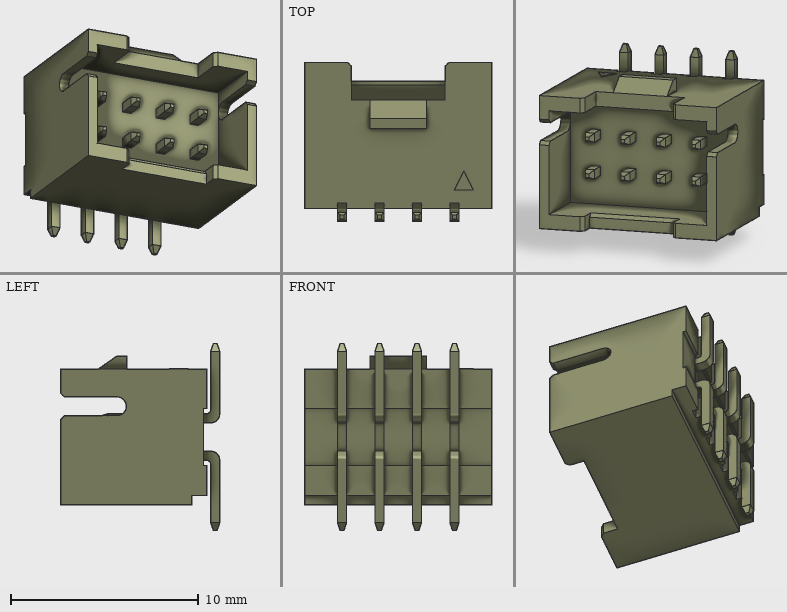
import cadquery as cq

BODY_WIDTH = 10.0
BODY_DEPTH = 7.8
BODY_HEIGHT = 7.25
BODY_TOP = BODY_HEIGHT / 2

SIDE_WALL = 0.55
COVER_WALL = 0.8
CAVITY_DEPTH = 3.5
CAVITY_FLOOR = BODY_DEPTH - CAVITY_DEPTH

NOTCH_WIDTH = 5.0
TOP_NOTCH_DEPTH = 2.0
BOTTOM_NOTCH_DEPTH = 1.0
MOUTH_CHAMFER = 0.2
LEAD_IN = 0.2

SIDE_SLOT_HEIGHT = 1.0
SIDE_SLOT_CENTER = 1.64

REAR_RECESS_DEPTH = 0.17
REAR_RECESS_HEIGHT = 3.02
REAR_STEP_DEPTH = 0.8
REAR_STEP_HEIGHT = 0.5
PIN_GROOVE_DEPTH = 0.3

WEDGE_WIDTH = 3.04
WEDGE_HEIGHT = 0.7
WEDGE_FLAT = 0.54
WEDGE_RAMP = 1.0
WEDGE_FRONT = BODY_DEPTH - TOP_NOTCH_DEPTH

MARK_X = 3.5
MARK_Y = 1.0
MARK_SIZE = 1.0
MARK_HEIGHT = 0.04

PIN_COUNT = 4
PIN_PITCH = 2.0
PIN_SIZE = 0.5
PIN_TIP_SIZE = 0.2
PIN_TIP_LENGTH = 0.43
PIN_ROW_Z = 1.0
PIN_LEG_Y = -0.45
PIN_LEG_END = 5.0
PIN_CONTACT_END = 5.73
BEND_OUTER_RADIUS = 0.5
BEND_INNER_RADIUS = 0.2

PIN_XS = [(i - (PIN_COUNT - 1) / 2) * PIN_PITCH for i in range(PIN_COUNT)]


def box(x_range, y_range, z_range):
    """Axis-aligned block spanning the given (low, high) ranges."""
    sizes = [high - low for low, high in (x_range, y_range, z_range)]
    corner = (x_range[0], y_range[0], z_range[0])
    return cq.Workplane("XY").box(*sizes, centered=False).translate(corner)


def centered(size):
    return (-size / 2, size / 2)


def mouth_cutter(plane, center, width, depth, half_length):
    """Notch running in from the mouth, flaring out to chamfered corners at the mouth face.

    The notch is drawn with its width along the plane's first axis and y along its second.
    """
    left = center - width / 2
    right = center + width / 2
    inner_end = BODY_DEPTH - depth
    straight_end = BODY_DEPTH - MOUTH_CHAMFER
    return (
        cq.Workplane(plane)
        .polyline([
            (left, inner_end),
            (right, inner_end),
            (right, straight_end),
            (right + MOUTH_CHAMFER, BODY_DEPTH),
            (left - MOUTH_CHAMFER, BODY_DEPTH),
            (left, straight_end),
        ])
        .close()
        .extrude(half_length, both=True)
    )


def cut_mouth(body):
    """Cavity, wall notches and side slots."""
    cavity = box(
        centered(BODY_WIDTH - 2 * SIDE_WALL),
        (CAVITY_FLOOR, BODY_DEPTH),
        centered(BODY_HEIGHT - 2 * COVER_WALL),
    )
    top_notch = mouth_cutter("XY", 0, NOTCH_WIDTH, TOP_NOTCH_DEPTH, COVER_WALL)
    top_notch = top_notch.translate((0, 0, BODY_TOP))
    bottom_notch = mouth_cutter("XY", 0, NOTCH_WIDTH, BOTTOM_NOTCH_DEPTH, COVER_WALL)
    bottom_notch = bottom_notch.translate((0, 0, -BODY_TOP))

    notch_end = BODY_DEPTH - BOTTOM_NOTCH_DEPTH
    wall_inside = COVER_WALL - BODY_TOP
    lead_in = (
        cq.Workplane("YZ")
        .polyline([
            (notch_end - LEAD_IN, wall_inside),
            (notch_end, wall_inside - LEAD_IN),
            (notch_end, wall_inside),
        ])
        .close()
        .extrude(NOTCH_WIDTH / 2, both=True)
    )

    round_radius = SIDE_SLOT_HEIGHT / 2
    slot_depth = CAVITY_DEPTH - round_radius
    side_slot = mouth_cutter("ZY", SIDE_SLOT_CENTER, SIDE_SLOT_HEIGHT, slot_depth, BODY_WIDTH / 2)
    slot_end = (
        cq.Workplane("YZ")
        .center(CAVITY_FLOOR + round_radius, SIDE_SLOT_CENTER)
        .circle(round_radius)
        .extrude(BODY_WIDTH / 2, both=True)
    )
    side_slot = side_slot.union(slot_end)
    return body.cut(cavity).cut(top_notch).cut(bottom_notch).cut(lead_in).cut(side_slot)


def cut_rear(body):
    """Shallow recess across the rear, step along its lower edge and one groove per pin column."""
    full_width = centered(BODY_WIDTH)
    body = body.cut(box(full_width, (0, REAR_RECESS_DEPTH), centered(REAR_RECESS_HEIGHT)))
    step_range = (-BODY_TOP, REAR_STEP_HEIGHT - BODY_TOP)
    body = body.cut(box(full_width, (0, REAR_STEP_DEPTH), step_range))
    groove = box(centered(PIN_SIZE), (0, PIN_GROOVE_DEPTH), centered(BODY_HEIGHT))
    for x in PIN_XS:
        body = body.cut(groove.translate((x, 0, 0)))
    return body


def locking_wedge():
    ramp_end = WEDGE_FRONT - WEDGE_RAMP
    rear = ramp_end - WEDGE_FLAT
    return (
        cq.Workplane("YZ")
        .polyline([
            (WEDGE_FRONT, BODY_TOP),
            (ramp_end, BODY_TOP + WEDGE_HEIGHT),
            (rear, BODY_TOP + WEDGE_HEIGHT),
            (rear, BODY_TOP),
        ])
        .close()
        .extrude(WEDGE_WIDTH / 2, both=True)
    )


def contact_mark():
    return (
        cq.Workplane("XY", origin=(MARK_X, MARK_Y, BODY_TOP))
        .polyline([(-MARK_SIZE / 2, 0), (MARK_SIZE / 2, 0), (0, MARK_SIZE)])
        .close()
        .extrude(MARK_HEIGHT)
    )


def pin_tip(origin, direction):
    """Tapered square end starting at origin and pointing along direction."""
    base = cq.Plane(origin=origin, xDir=(1, 0, 0), normal=direction)
    return (
        cq.Workplane(base)
        .rect(PIN_SIZE, PIN_SIZE)
        .workplane(offset=PIN_TIP_LENGTH)
        .rect(PIN_TIP_SIZE, PIN_TIP_SIZE)
        .loft(ruled=True)
    )


def upper_pin():
    """Pin with its contact along +Y and its leg bent up along +Z, centred on x = 0."""
    half = PIN_SIZE / 2
    contact_base = PIN_CONTACT_END - PIN_TIP_LENGTH
    leg_base = PIN_LEG_END - PIN_TIP_LENGTH
    outer_y = PIN_LEG_Y - half
    inner_y = PIN_LEG_Y + half
    outer_z = PIN_ROW_Z - half
    inner_z = PIN_ROW_Z + half
    bar = (
        cq.Workplane("YZ")
        .polyline([
            (contact_base, outer_z),
            (outer_y, outer_z),
            (outer_y, leg_base),
            (inner_y, leg_base),
            (inner_y, inner_z),
            (contact_base, inner_z),
        ])
        .close()
        .extrude(half, both=True)
    )
    bar = bar.edges(cq.selectors.NearestToPointSelector((0, outer_y, outer_z))).fillet(BEND_OUTER_RADIUS)
    bar = bar.edges(cq.selectors.NearestToPointSelector((0, inner_y, inner_z))).fillet(BEND_INNER_RADIUS)
    contact_tip = pin_tip((0, contact_base, PIN_ROW_Z), (0, 1, 0))
    leg_tip = pin_tip((0, PIN_LEG_Y, leg_base), (0, 0, 1))
    return bar.union(contact_tip).union(leg_tip)


housing = box(centered(BODY_WIDTH), (0, BODY_DEPTH), centered(BODY_HEIGHT))
housing = cut_rear(cut_mouth(housing))
housing = housing.union(locking_wedge()).union(contact_mark())

pin_pair = upper_pin()
pin_pair = pin_pair.add(pin_pair.mirror("XY")).combine()
for pin_x in PIN_XS:
    housing = housing.union(pin_pair.translate((pin_x, 0, 0)))

result = housing